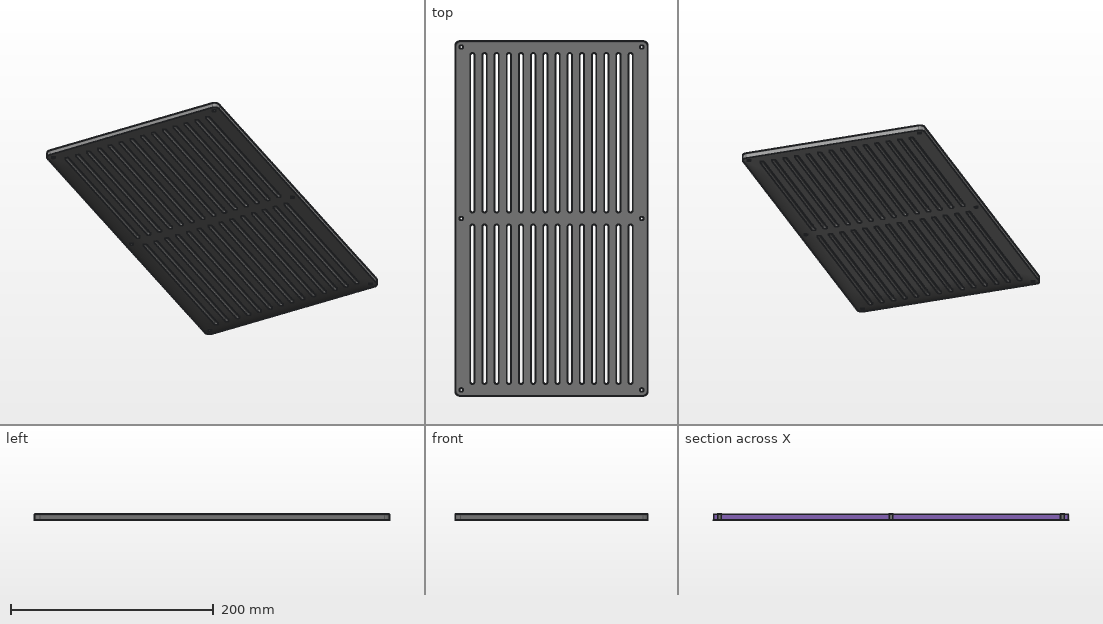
import cadquery as cq

width = 190.0
length = 350.0
thickness = 6.0
corner_radius = 5.0
top_fillet = 1.0

slots_per_row = 14
slot_pitch = 12.0
slot_width = 4.0
end_margin = 12.0
bridge_width = 12.0
slot_length = (length - 2 * end_margin - bridge_width) / 2
slot_row_y = (bridge_width + slot_length) / 2

hole_diameter = 3.4
hole_inset = 6.0
hole_x = width / 2 - hole_inset
hole_end_y = length / 2 - hole_inset


def make_plate():
    """Plate with rounded corners and a rounded top rim, bottom face on Z = 0."""
    plate = cq.Workplane("XY").box(width, length, thickness, centered=(True, True, False))
    plate = plate.edges("|Z").fillet(corner_radius)
    return plate.faces(">Z").edges().fillet(top_fillet)


def make_slots():
    """Cutters for both rows of round-ended slots running along Y."""
    first_slot_x = -slot_pitch * (slots_per_row - 1) / 2
    centers = [
        (first_slot_x + column * slot_pitch, row_y)
        for row_y in (-slot_row_y, slot_row_y)
        for column in range(slots_per_row)
    ]
    return cq.Workplane("XY").pushPoints(centers).slot2D(slot_length, slot_width, 90).extrude(thickness)


def make_screw_holes():
    """Cutters for the through holes at the corners and the middle of the long sides."""
    centers = [(x, y) for x in (-hole_x, hole_x) for y in (-hole_end_y, 0, hole_end_y)]
    return cq.Workplane("XY").pushPoints(centers).circle(hole_diameter / 2).extrude(thickness)


result = make_plate().cut(make_slots()).cut(make_screw_holes())